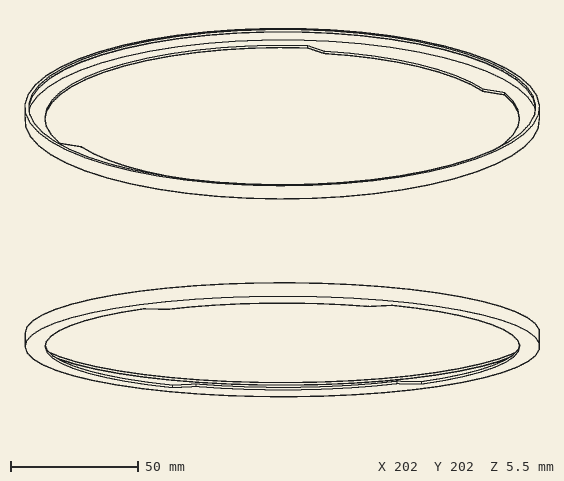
import cadquery as cq
import math

outer_diameter = 202.0
height = 5.5
lip_diameter = 199.0
groove_diameter = 200.0
lip_height = 1.0

floor_thickness = 1.0
opening_radius = 93.1

lug_inner_radius = 87.0
lug_center_angle = 100.3
lug_tip_half_angle = 27.0
lug_root_half_angle = 31.7
lug_overlap_radius = (opening_radius + lip_diameter / 2) / 2


def polar(radius, angle):
    """Point at a radius and an angle in degrees about the ring axis."""
    radians = math.radians(angle)
    return (radius * math.cos(radians), radius * math.sin(radians))


def make_ring():
    """Flanged rim with a shallow groove under its top lip."""
    lip_bottom = height - lip_height
    profile = [
        (opening_radius, 0),
        (outer_diameter / 2, 0),
        (outer_diameter / 2, height),
        (lip_diameter / 2, height),
        (lip_diameter / 2, lip_bottom),
        (groove_diameter / 2, lip_bottom),
        (groove_diameter / 2, floor_thickness),
        (opening_radius, floor_thickness),
    ]
    return cq.Workplane("XZ").polyline(profile).close().revolve(360, (0, 0, 0), (0, 1, 0))


def make_lug(center_angle):
    """Arc-shaped lug with slanted ends, its root buried in the flange."""
    root_start = center_angle - lug_root_half_angle
    root_end = center_angle + lug_root_half_angle
    tip_start = center_angle - lug_tip_half_angle
    tip_end = center_angle + lug_tip_half_angle
    return (
        cq.Workplane("XY")
        .moveTo(*polar(opening_radius, root_start))
        .lineTo(*polar(lug_inner_radius, tip_start))
        .threePointArc(polar(lug_inner_radius, center_angle), polar(lug_inner_radius, tip_end))
        .lineTo(*polar(opening_radius, root_end))
        .lineTo(*polar(lug_overlap_radius, root_end))
        .threePointArc(polar(lug_overlap_radius, center_angle), polar(lug_overlap_radius, root_start))
        .close()
        .extrude(floor_thickness)
    )


result = make_ring()
for turn in (0, 180):
    result = result.union(make_lug(lug_center_angle + turn))
result = result.clean()